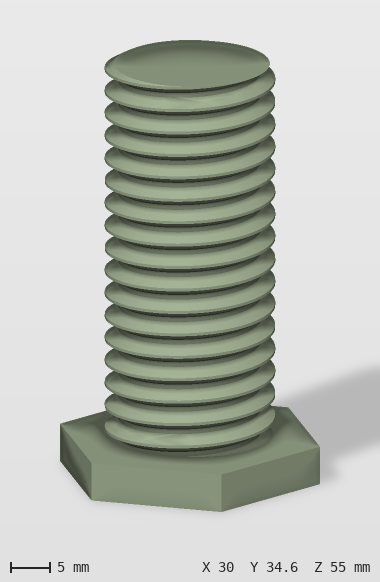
import cadquery as cq
import math

total_height = 55.0
head_height = 5.0
head_across_flats = 30.0
head_sides = 6
shank_length = total_height - head_height

major_diameter = 21.8
root_diameter = 18.3
thread_turns = 16 + 2 / 3
pitch = shank_length / thread_turns
crest_width = 0.4
flank_angle = 30.0
crest_above_tip = 0.2
root_overlap = 0.1
trim_margin = 2.75


def make_head():
    half_sector = 360 / head_sides / 2
    across_corners = head_across_flats / math.cos(math.radians(half_sector))
    return (
        cq.Workplane("XY")
        .polygon(head_sides, across_corners)
        .extrude(head_height)
        .rotate((0, 0, 0), (0, 0, 1), half_sector)
    )


def make_core():
    return cq.Workplane("XY").circle(root_diameter / 2).extrude(total_height)


def make_thread_ridge():
    """Right-handed helical ridge, trimmed flush with the head and the shank tip."""
    turns_below_tip = math.ceil(shank_length / pitch) + 1
    start_z = total_height + crest_above_tip - turns_below_tip * pitch
    helix_height = (turns_below_tip + 1) * pitch

    crest_radius = major_diameter / 2
    inner_radius = root_diameter / 2 - root_overlap
    half_crest = crest_width / 2
    half_base = half_crest + (crest_radius - inner_radius) * math.tan(math.radians(flank_angle))

    helix = cq.Wire.makeHelix(pitch, helix_height, root_diameter / 2).translate(cq.Vector(0, 0, start_z))
    ridge = (
        cq.Workplane("XZ")
        .moveTo(inner_radius, start_z - half_base)
        .lineTo(crest_radius, start_z - half_crest)
        .lineTo(crest_radius, start_z + half_crest)
        .lineTo(inner_radius, start_z + half_base)
        .close()
        .sweep(cq.Workplane(obj=helix), isFrenet=True)
    )
    shank_envelope = (
        cq.Workplane("XY")
        .workplane(offset=head_height)
        .circle(crest_radius + trim_margin)
        .extrude(shank_length)
    )
    return ridge.intersect(shank_envelope)


result = make_core().union(make_thread_ridge()).union(make_head())